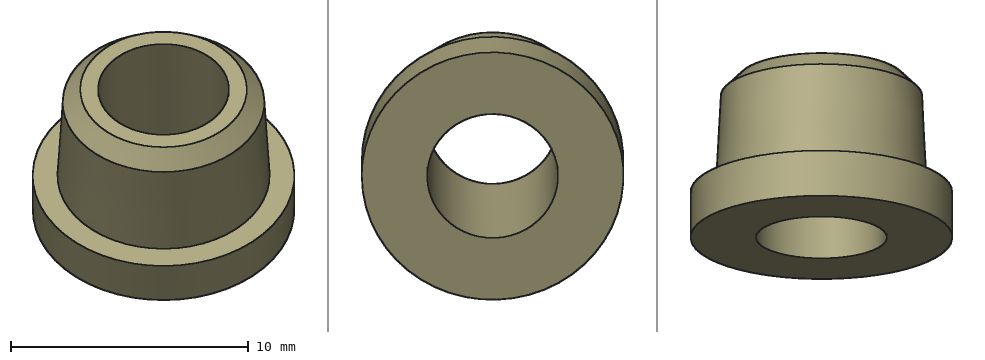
import cadquery as cq
import math

flange_diameter = 11.0
flange_thickness = 2.0

total_height = 7.0
bore_diameter = 5.5
sleeve_top_diameter = 8.4
sleeve_draft_angle = 3.0
rim_diameter = 7.0

flange_radius = flange_diameter / 2
bore_radius = bore_diameter / 2
rim_radius = rim_diameter / 2
sleeve_top_radius = sleeve_top_diameter / 2
draft_slope = math.tan(math.radians(sleeve_draft_angle))
sleeve_base_radius = sleeve_top_radius + (total_height - flange_thickness) * draft_slope

chamfer_size = (sleeve_top_radius - rim_radius) / (1 - draft_slope)
chamfer_base_radius = rim_radius + chamfer_size
chamfer_base_height = total_height - chamfer_size


def bushing():
    """Revolve the half section of the flanged bushing about the Z axis."""
    half_section = (
        cq.Workplane("XZ")
        .moveTo(bore_radius, 0)
        .lineTo(flange_radius, 0)
        .lineTo(flange_radius, flange_thickness)
        .lineTo(sleeve_base_radius, flange_thickness)
        .lineTo(chamfer_base_radius, chamfer_base_height)
        .lineTo(rim_radius, total_height)
        .lineTo(bore_radius, total_height)
        .close()
    )
    return half_section.revolve(360, (0, 0, 0), (0, 1, 0))


result = bushing()